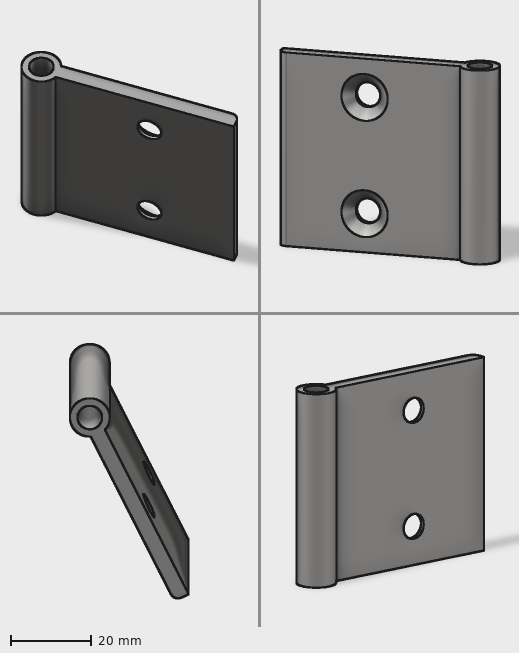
import cadquery as cq

length = 57.0
height = 50.0
leaf_thickness = 4.0
edge_radius = 2.0

barrel_diameter = 10.0
bore_diameter = 6.1

hole_diameter = 6.4
straight_depth = 1.15
hole_from_axis = 29.5
hole_spacing = 30.0

barrel_radius = barrel_diameter / 2
leaf_end = length - barrel_radius


def make_leaf():
    """Flat plate starting at the barrel axis, rounded on the +Y side of its free edge."""
    plate = cq.Workplane("XY").box(leaf_end, leaf_thickness, height, centered=(False, True, True))
    return plate.edges("|Z and >X and >Y").fillet(edge_radius)


def make_cylinder(diameter):
    """Full-height cylinder on the barrel axis."""
    return cq.Workplane("XY").circle(diameter / 2).extrude(height / 2, both=True)


def make_screw_hole(z):
    """Revolved cutter along Y for one countersunk screw hole at height z."""
    hole_radius = hole_diameter / 2
    front = -leaf_thickness / 2
    back = leaf_thickness / 2
    cone_start = front + straight_depth
    countersink_radius = hole_radius + back - cone_start
    profile = (
        cq.Workplane("XY")
        .moveTo(0, front)
        .lineTo(hole_radius, front)
        .lineTo(hole_radius, cone_start)
        .lineTo(countersink_radius, back)
        .lineTo(0, back)
        .close()
    )
    return profile.revolve(360, (0, 0), (0, 1)).translate((hole_from_axis, 0, z))


result = make_leaf().union(make_cylinder(barrel_diameter)).cut(make_cylinder(bore_diameter))
for side in (-1, 1):
    result = result.cut(make_screw_hole(side * hole_spacing / 2))